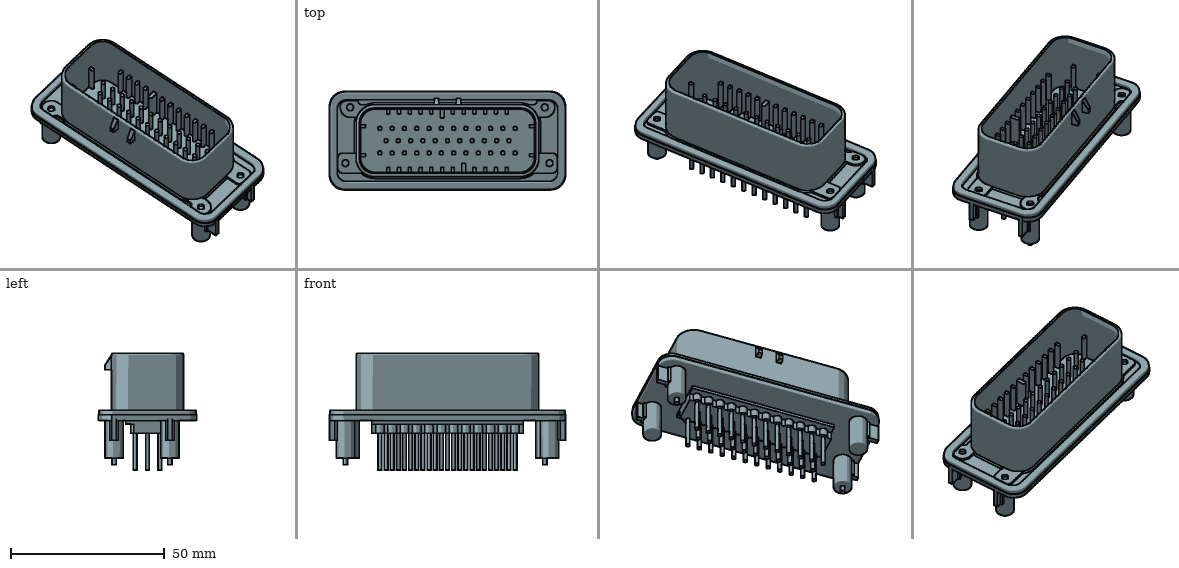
import cadquery as cq

shroud_top = 21.9
flange_top = 3.4
flange_step_z = 1.85
recess_floor = 1.9
pad_top = 2.55
shroud_floor = recess_floor
pin_top = 9.45
blade_top = 12.0
end_blade_top = 11.55
slab_bottom = -1.2
block_bottom = -4.2
gusset_bottom = -6.45
standoff_bottom = -12.25
peg_bottom = -14.4
pin_bottom = -16.15

flange_length = 76.9
flange_width = 32.1
flange_corner = 5.05
flange_step = 0.2
flange_top_fillet = 0.5
flange_bottom_fillet = 0.4
recess_length = 71.8
recess_width = 26.5
recess_corner = 3.0
recess_lip_fillet = 0.45

shroud_length = 59.5
shroud_width = 23.5
shroud_corner = 6.1
shroud_wall = 1.5
shroud_top_fillet = 0.65
lead_in = 0.4
lead_in_depth = 1.8
collar = 0.55
collar_height = 0.5
cavity_length = shroud_length - 2 * shroud_wall
cavity_width = shroud_width - 2 * shroud_wall
cavity_corner = shroud_corner - shroud_wall

blade_count = 12
blade_pitch = 3.5
blade_width = 1.05
blade_reach = 1.6
blade_tip_fillet = 0.4
long_blade_width = 1.35
long_blade_reach = 2.95
long_blade_tip_fillet = 0.6
long_blade_rear = 5
long_blade_front = 7
end_blade_y = 4.72
blade_root = shroud_wall / 2

pin_diameter = 1.3
pin_pitch = 4.0
outer_row_count = 12
middle_row_count = 11

block_length = 49.4
slab_width = 14.2
block_width = 9.0
pin_boss_diameter = 3.0

rear_mount_x = 31.65
rear_mount_y = 10.85
front_mount_x = 33.2
front_mount_y = -7.3
standoff_diameter = 6.0
standoff_fillet = 0.25
peg_diameter = 1.5
hole_diameter = 2.2
hole_depth = 1.0
fin_width = 1.4
gusset_width = 2.8
gusset_reach = 3.5

pad_radius = 3.25
pad_corner = 1.5
pad_gap = 0.25
rear_pad_shoulder_y = 11.7
rear_pad_inner_x = 29.1
rear_pad_corner = 1.2

latch_x = 3.58
latch_tip_width = 1.25
latch_root_width = 1.95
latch_reach = 2.1
latch_bottom = 16.5
latch_nose_top = 18.0
latch_top = 21.25


def rounded_block(length, width, corner, bottom, top):
    """Upright block centred on the Z axis with rounded vertical edges."""
    block = cq.Workplane("XY").workplane(offset=bottom).rect(length, width).extrude(top - bottom)
    return block.edges("|Z").fillet(corner)


def box(x_min, x_max, y_min, y_max, z_min, z_max):
    """Axis-aligned box given by its limits, the limits of each axis in either order."""
    return (
        cq.Workplane("XY")
        .box(abs(x_max - x_min), abs(y_max - y_min), abs(z_max - z_min))
        .translate(((x_min + x_max) / 2, (y_min + y_max) / 2, (z_min + z_max) / 2))
    )


def cylinder(x, y, diameter, bottom, top):
    """Upright cylinder."""
    return cq.Workplane("XY").workplane(offset=bottom).center(x, y).circle(diameter / 2).extrude(top - bottom)


def tapered_block(length, width, corner, growth, bottom, top):
    """Rounded block whose outline grows by growth on every side from bottom to top."""
    lower = rounded_block(length, width, corner, bottom, top).faces("<Z").wires().val()
    upper = rounded_block(length + 2 * growth, width + 2 * growth, corner + growth, bottom, top)
    upper = upper.faces(">Z").wires().val()
    return cq.Workplane(obj=cq.Solid.makeLoft([lower, upper], True))


def make_flange():
    """Stepped flange with a shallow recess in its top face."""
    lower = rounded_block(flange_length, flange_width, flange_corner, 0, flange_step_z)
    lower = lower.faces("<Z").edges().fillet(flange_bottom_fillet)
    upper = rounded_block(
        flange_length - 2 * flange_step,
        flange_width - 2 * flange_step,
        flange_corner - flange_step,
        flange_step_z,
        flange_top,
    )
    upper = upper.faces(">Z").edges().fillet(flange_top_fillet)
    flange = lower.union(upper)
    recess = rounded_block(recess_length, recess_width, recess_corner, recess_floor, flange_top)
    flange = flange.cut(recess)
    rim = flange.faces(">Z").val().innerWires()[0]
    return flange.newObject(rim.Edges()).fillet(recess_lip_fillet)


def make_pads(side):
    """Raised pads of the rear and front mounts at one end of the flange."""
    pad_x_limit = recess_length / 2 - pad_gap
    pad_y_limit = recess_width / 2 - pad_gap
    mount_x = side * rear_mount_x
    shoulder = box(
        mount_x,
        side * rear_pad_inner_x,
        rear_mount_y,
        pad_y_limit,
        recess_floor,
        pad_top,
    )
    bridge = box(
        mount_x,
        side * (shroud_length / 2 - shroud_corner),
        rear_mount_y - pad_radius,
        rear_pad_shoulder_y,
        recess_floor,
        pad_top,
    )
    round_end = cylinder(mount_x, rear_mount_y, 2 * pad_radius, recess_floor, pad_top)
    outer_half = box(
        mount_x,
        mount_x + side * pad_radius,
        rear_mount_y - pad_radius,
        pad_y_limit,
        recess_floor,
        pad_top,
    )
    inner_corner = cq.selectors.NearestToPointSelector(
        (side * rear_pad_inner_x, rear_pad_shoulder_y, (recess_floor + pad_top) / 2)
    )
    rear = shoulder.union(bridge).edges("|Z").edges(inner_corner).fillet(rear_pad_corner)
    rear = rear.union(round_end.intersect(outer_half))

    front = box(
        side * pad_x_limit,
        side * (shroud_length / 2 - shroud_corner),
        front_mount_y - pad_radius,
        front_mount_y + pad_radius,
        recess_floor,
        pad_top,
    )
    outer_face = ">X" if side > 0 else "<X"
    front = front.faces(outer_face).edges("|Z").fillet(pad_corner)
    room = rounded_block(2 * pad_x_limit, 2 * pad_y_limit, recess_corner, recess_floor, pad_top)
    return rear.union(front).intersect(room)


def make_mount(x, y):
    """Standoff with a T-shaped gusset reaching out to the end of the flange."""
    side = 1 if x > 0 else -1
    standoff = cylinder(x, y, standoff_diameter, standoff_bottom, recess_floor)
    standoff = standoff.faces("<Z").edges().fillet(standoff_fillet)
    fin = box(
        x, side * flange_length / 2, y - fin_width / 2, y + fin_width / 2, gusset_bottom, flange_step_z
    )
    gusset = box(
        x, x + side * gusset_reach, y - gusset_width / 2, y + gusset_width / 2, gusset_bottom, flange_step_z
    )
    return standoff.union(fin).union(gusset)


def make_shroud():
    """Solid body of the shroud with a flared collar at its base."""
    body = rounded_block(shroud_length, shroud_width, shroud_corner, 0, shroud_top)
    body = body.faces(">Z").edges().fillet(shroud_top_fillet)
    flare = tapered_block(
        shroud_length + 2 * collar,
        shroud_width + 2 * collar,
        shroud_corner + collar,
        -collar,
        recess_floor,
        recess_floor + collar_height,
    )
    return body.union(flare)


def make_cavity():
    """Inside of the shroud, widening at its mouth."""
    cavity = rounded_block(cavity_length, cavity_width, cavity_corner, shroud_floor, shroud_top)
    mouth = tapered_block(
        cavity_length, cavity_width, cavity_corner, lead_in, shroud_top - lead_in_depth, shroud_top
    )
    return cavity.union(mouth)


def make_blade(width, reach, tip_fillet, top):
    """Blade along +Y whose root starts inside a wall with its face at Y = 0."""
    blade = box(-width / 2, width / 2, -blade_root, reach, shroud_floor, top)
    return blade.faces(">Y").edges("|Z").fillet(tip_fillet)


def turned(shape, angle):
    """Shape turned about the Z axis."""
    return shape.rotate((0, 0, 0), (0, 0, 1), angle)


def make_blades():
    """Two rows of blades, one longer in each row, and two lower blades at each end."""
    short = make_blade(blade_width, blade_reach, blade_tip_fillet, blade_top)
    long = make_blade(long_blade_width, long_blade_reach, long_blade_tip_fillet, blade_top)
    end = make_blade(blade_width, blade_reach, blade_tip_fillet, end_blade_top)
    blades = cq.Workplane("XY")
    for i in range(blade_count):
        x = (i - (blade_count - 1) / 2) * blade_pitch
        front = long if i == long_blade_front else short
        rear = long if i == long_blade_rear else short
        blades = blades.add(front.translate((x, -cavity_width / 2, 0)))
        blades = blades.add(turned(rear, 180).translate((x, cavity_width / 2, 0)))
    for y in (-end_blade_y, end_blade_y):
        blades = blades.add(turned(end, -90).translate((-cavity_length / 2, y, 0)))
        blades = blades.add(turned(end, 90).translate((cavity_length / 2, y, 0)))
    return blades.combine()


def row_points(count, y):
    """Positions of one row of pins centred on X = 0."""
    return [((i - (count - 1) / 2) * pin_pitch, y) for i in range(count)]


def make_terminal_block():
    """Slab and narrower block, scalloped by a boss around each outer pin."""
    slab = box(-block_length / 2, block_length / 2, -slab_width / 2, slab_width / 2, slab_bottom, shroud_floor)
    block = box(-block_length / 2, block_length / 2, -block_width / 2, block_width / 2, block_bottom, 0)
    bosses = (
        cq.Workplane("XY")
        .workplane(offset=block_bottom)
        .pushPoints(row_points(outer_row_count, pin_pitch) + row_points(outer_row_count, -pin_pitch))
        .circle(pin_boss_diameter / 2)
        .extrude(-block_bottom)
    )
    return slab.union(block).union(bosses)


def make_pins():
    """Three staggered rows of straight pins."""
    points = row_points(outer_row_count, pin_pitch)
    points += row_points(middle_row_count, 0)
    points += row_points(outer_row_count, -pin_pitch)
    return (
        cq.Workplane("XY")
        .workplane(offset=pin_bottom)
        .pushPoints(points)
        .circle(pin_diameter / 2)
        .extrude(pin_top - pin_bottom)
    )


def make_latch(x):
    """Ramped latch on the rear wall, narrowing from the wall to its tip."""
    wall_y = shroud_width / 2
    root_y = wall_y - shroud_wall / 2
    tip_y = wall_y + latch_reach
    ramp = (
        cq.Workplane("YZ")
        .moveTo(root_y, latch_bottom)
        .lineTo(tip_y, latch_bottom)
        .lineTo(tip_y, latch_nose_top)
        .lineTo(wall_y, latch_top)
        .lineTo(root_y, latch_top)
        .close()
        .extrude(latch_root_width, both=True)
        .translate((x, 0, 0))
    )
    plan = (
        cq.Workplane("XY")
        .workplane(offset=latch_bottom)
        .moveTo(x - latch_root_width / 2, root_y)
        .lineTo(x + latch_root_width / 2, root_y)
        .lineTo(x + latch_tip_width / 2, tip_y)
        .lineTo(x - latch_tip_width / 2, tip_y)
        .close()
        .extrude(latch_top - latch_bottom)
    )
    return ramp.intersect(plan)


mounts = [
    (side * x, y)
    for side in (-1, 1)
    for x, y in ((rear_mount_x, rear_mount_y), (front_mount_x, front_mount_y))
]

result = make_flange().union(make_shroud()).union(make_terminal_block())
for side in (-1, 1):
    result = result.union(make_pads(side))
    result = result.union(make_latch(side * latch_x))
for x, y in mounts:
    result = result.union(make_mount(x, y))
    result = result.cut(cylinder(x, y, hole_diameter, pad_top - hole_depth, pad_top))
result = result.cut(make_cavity()).union(make_blades()).union(make_pins())

for x, y in ((-front_mount_x, front_mount_y), (rear_mount_x, rear_mount_y)):
    result = result.union(cylinder(x, y, peg_diameter, peg_bottom, standoff_bottom))